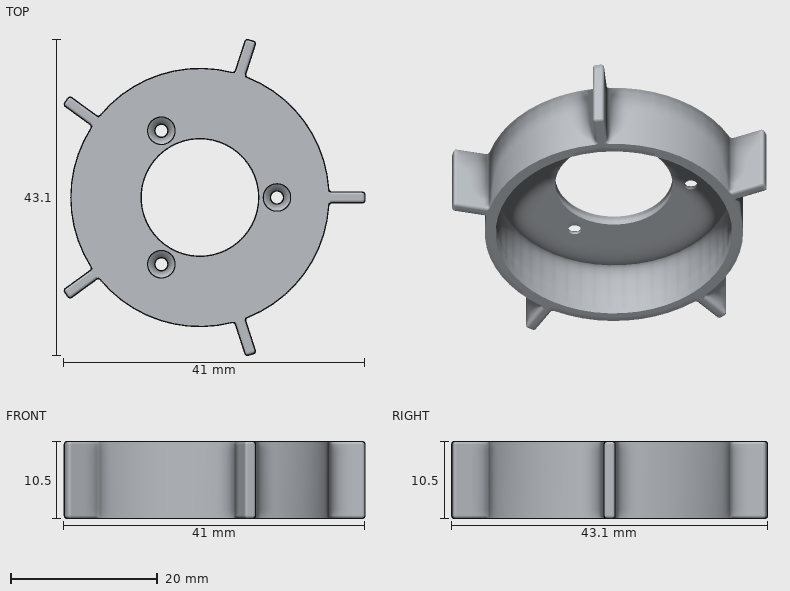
import cadquery as cq
import math

height = 10.5
cavity_diameter = 32.2
wall_thickness = 1.5
plate_thickness = 1.5
bore_diameter = 16.0
outer_radius = cavity_diameter / 2 + wall_thickness

fin_count = 5
fin_tip_radius = 22.5
fin_thickness = 1.5
fin_edge_radius = 0.4

screw_count = 3
screw_circle_radius = 10.5
screw_hole_diameter = 1.75
countersink_diameter = 3.75
countersink_angle = 90


def make_cap():
    """Disc with its underside hollowed out up to the top plate, and a central bore."""
    disc = cq.Workplane("XY").circle(outer_radius).extrude(height)
    cavity = cq.Workplane("XY").circle(cavity_diameter / 2).extrude(height - plate_thickness)
    bore = cq.Workplane("XY").circle(bore_diameter / 2).extrude(height)
    return disc.cut(cavity).cut(bore)


def make_fin_quarter():
    """One quarter of the fin on the X axis (y > 0, above mid-height), joined to a bit of the wall.

    The root, tip and side edges are rounded together so that they blend where they meet.
    """
    half_height = height / 2
    half_thickness = fin_thickness / 2
    root_distance = math.sqrt(outer_radius**2 - half_thickness**2)
    upright_middle = half_height * 3 / 2
    side_middle = (root_distance + fin_tip_radius) / 2
    rounded_edge_points = [
        (root_distance, half_thickness, upright_middle),
        (fin_tip_radius, half_thickness, upright_middle),
        (side_middle, half_thickness, height),
        (fin_tip_radius, half_thickness / 2, height),
    ]

    base = cq.Workplane("XY", origin=(0, 0, half_height))
    disc = base.circle(outer_radius).extrude(half_height)
    fin = base.rect(2 * fin_tip_radius, fin_thickness).extrude(half_height)
    quadrant = base.rect(fin_tip_radius, fin_tip_radius, centered=False).extrude(half_height)
    body = disc.union(fin).intersect(quadrant)
    edges = body.newObject([])
    for point in rounded_edge_points:
        edges = edges.add(body.edges(cq.selectors.NearestToPointSelector(point)))
    rounded = edges.fillet(fin_edge_radius)

    inner_end = outer_radius - wall_thickness / 2
    kept_width = (half_thickness + fin_edge_radius) * outer_radius / (outer_radius + fin_edge_radius)
    kept_block = (
        base.center(inner_end, 0)
        .rect(fin_tip_radius - inner_end, kept_width, centered=False)
        .extrude(half_height)
    )
    return rounded.intersect(kept_block)


def make_fin():
    """Whole fin on the X axis, mirrored from its quarter."""
    quarter = make_fin_quarter()
    upper_half = quarter.union(quarter.mirror("XZ"))
    return upper_half.union(upper_half.mirror("XY", (0, 0, height / 2)))


def add_fins(body):
    """Join equally spaced fins to the wall, merging the flush faces at the end."""
    fin = make_fin()
    for index in range(fin_count):
        angle = 360 / fin_count * index
        body = body.union(fin.rotate((0, 0, 0), (0, 0, 1), angle), clean=False)
    return body.clean()


def cut_screw_holes(body):
    """Countersunk through holes, equally spaced and starting on the X axis."""
    return (
        body.faces(">Z")
        .workplane(origin=(0, 0, height))
        .polarArray(screw_circle_radius, 0, 360, screw_count)
        .cskHole(screw_hole_diameter, countersink_diameter, countersink_angle)
    )


result = add_fins(cut_screw_holes(make_cap()))